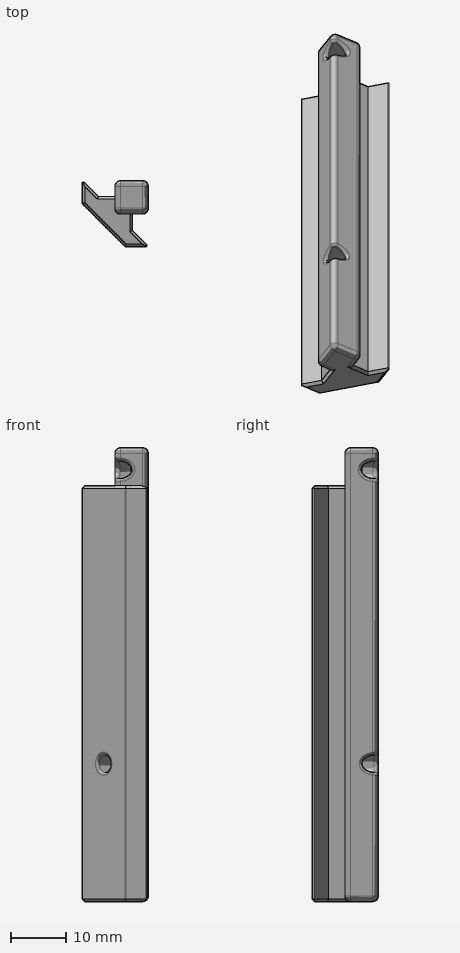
import cadquery as cq

length = 82.0
side = 12.0

rail_length = 75.1
rail_face_start = 7.8
step_inset = 2.95
rail_rounding = 0.25
rail_end_chamfer = 0.5
rail_reach = 12.05

post_side = 6.1
post_rounding = 1.1

hole_diameter = 3.2
rail_hole_rim = 0.5
post_hole_rim = 0.6
rail_hole_height = 24.9
post_hole_height = 78.0


def make_rail():
    """Corner-shaped rail, symmetric about the plane x = y."""
    step = rail_reach - step_inset
    outline = [
        (0, rail_face_start),
        (rail_face_start, 0),
        (rail_reach, 0),
        (step, step_inset),
        (step, step),
        (step_inset, step),
        (0, rail_reach),
    ]
    bar = cq.Workplane("XY").polyline(outline).close().extrude(rail_length)
    rounded_bar = bar.edges("|Z").edges("<X or <Y").fillet(rail_rounding)
    chamfered_bar = bar.faces("<Z or >Z").edges().chamfer(rail_end_chamfer)
    return rounded_bar.intersect(chamfered_bar)


def make_post():
    """Square post with all edges rounded."""
    start = side - post_side
    post = cq.Workplane("XY").box(post_side, post_side, length, centered=False)
    return post.translate((start, start, 0)).edges().fillet(post_rounding)


def cut_diagonal_hole(body, height, rim_rounding):
    """Cut a level hole along the plane x = y and round both of its rims."""
    drill = cq.Solid.makeCylinder(
        hole_diameter / 2, 2 * side, cq.Vector(0, 0, height), cq.Vector(1, 1, 0)
    )
    body = body.cut(cq.Workplane(drill))
    rim_reach = hole_diameter / 2 + rim_rounding
    around_hole = cq.selectors.BoxSelector(
        (0, 0, height - rim_reach), (side, side, height + rim_reach)
    )
    return body.edges(around_hole).edges("not |Z").fillet(rim_rounding)


result = make_rail().union(make_post())
result = cut_diagonal_hole(result, rail_hole_height, rail_hole_rim)
result = cut_diagonal_hole(result, post_hole_height, post_hole_rim)